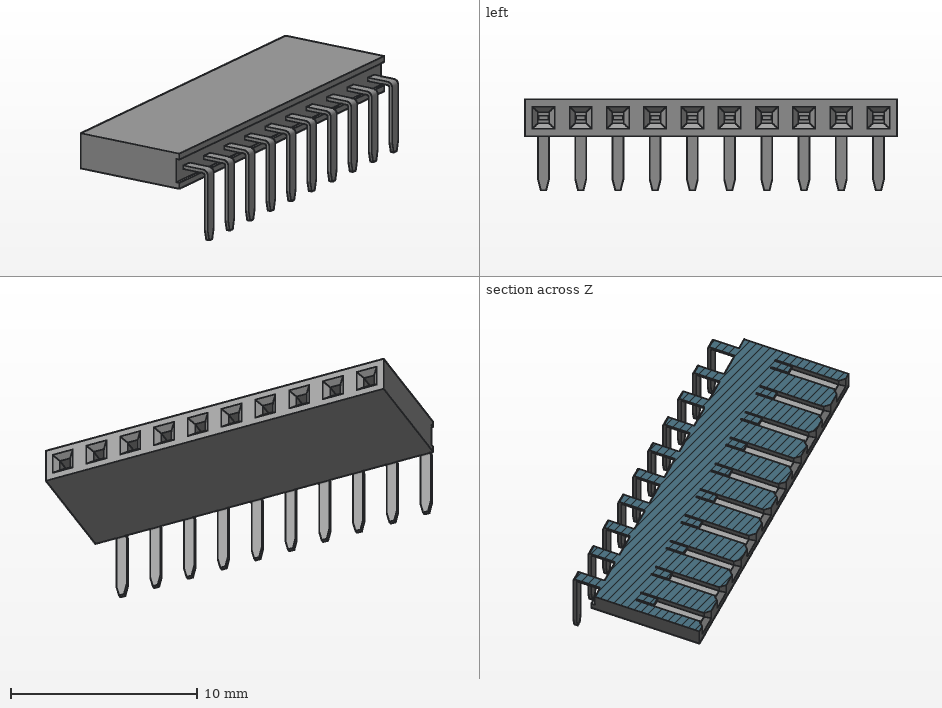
import cadquery as cq


contact_count = 10
pitch = 2.0
body_depth = 6.35
body_height = 2.0
body_length = contact_count * pitch

recess_depth = 0.2
lip_height = 0.34

mouth_width = 1.2
socket_width = 0.6
lead_in_depth = 0.3
socket_depth = 4.0

pin_width = 0.6
pin_thickness = 0.2
bend_outer_radius = 0.3
bend_inner_radius = bend_outer_radius - pin_thickness
leg_outer_x = 7.72
leg_bottom_z = -3.9
tip_width = 0.3
tip_length = 0.6
blade_width = 0.5
blade_length = 1.0

contact_positions = [(i - (contact_count - 1) / 2) * pitch for i in range(contact_count)]


def make_housing():
    """Rectangular block with a full-length recess between two rear lips."""
    block = cq.Workplane("XY").box(body_depth, body_length, body_height, centered=(False, True, True))
    recess = (
        cq.Workplane("XY")
        .box(recess_depth, body_length, body_height - 2 * lip_height, centered=(False, True, True))
        .translate((body_depth - recess_depth, 0, 0))
    )
    return block.cut(recess)


def make_socket(y):
    """Square contact hole with a tapered lead-in at the mating face."""
    lead_in = (
        cq.Workplane("YZ")
        .center(y, 0)
        .rect(mouth_width, mouth_width)
        .workplane(offset=lead_in_depth)
        .rect(socket_width, socket_width)
        .loft(ruled=True)
    )
    hole = cq.Workplane("YZ").center(y, 0).rect(socket_width, socket_width).extrude(socket_depth)
    return lead_in.union(hole)


def make_leg(y):
    """Flat strip leaving the rear face, bent down and tapered at its tip."""
    start_x = body_depth - recess_depth
    top_z = pin_thickness / 2
    strip = (
        cq.Workplane("XZ")
        .moveTo(start_x, top_z)
        .lineTo(leg_outer_x - bend_outer_radius, top_z)
        .radiusArc((leg_outer_x, top_z - bend_outer_radius), bend_outer_radius)
        .lineTo(leg_outer_x, leg_bottom_z)
        .lineTo(leg_outer_x - pin_thickness, leg_bottom_z)
        .lineTo(leg_outer_x - pin_thickness, top_z - bend_outer_radius)
        .radiusArc((leg_outer_x - bend_outer_radius, -top_z), -bend_inner_radius)
        .lineTo(start_x, -top_z)
        .close()
        .extrude(pin_width / 2, both=True)
    )
    shoulder_z = leg_bottom_z + tip_length
    for side in (-1, 1):
        tip_relief = (
            cq.Workplane("YZ")
            .moveTo(side * pin_width / 2, shoulder_z)
            .lineTo(side * pin_width / 2, leg_bottom_z)
            .lineTo(side * tip_width / 2, leg_bottom_z)
            .close()
            .extrude(leg_outer_x)
        )
        strip = strip.cut(tip_relief)
    return strip.translate((0, y, 0))


def make_blade(y):
    """Contact blade standing on the floor of the socket, facing the opening."""
    return (
        cq.Workplane("XY")
        .box(blade_length, blade_width, pin_thickness, centered=(False, True, True))
        .translate((socket_depth - blade_length, y, 0))
    )


result = make_housing()
for contact_y in contact_positions:
    result = result.cut(make_socket(contact_y))
for contact_y in contact_positions:
    result = result.union(make_leg(contact_y)).union(make_blade(contact_y))